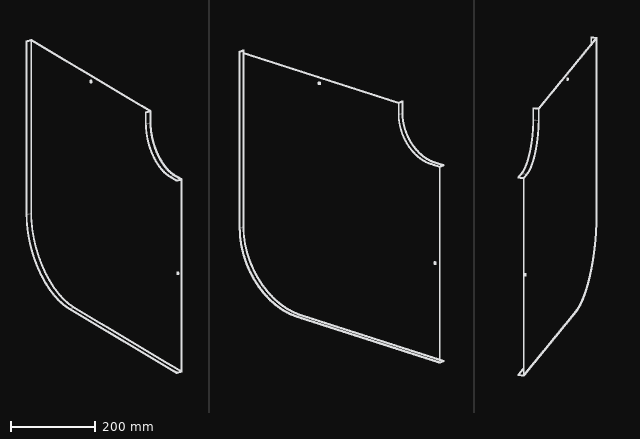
import cadquery as cq
import math

side = 631.0
depth = 14.0
sheet = 0.8

corner_radius = 180.0
notch_size = 129.5
notch_radius = 100.0

hole_diameter = 5.0
hole_edge_gap = 15.0
hole_distance = 251.0


def panel_prism(inset, thickness):
    """Extrude the outline towards -Y, with its flanged edges moved in by inset."""
    low = inset
    notch_edge = side - notch_size - inset
    outer_radius = corner_radius - inset
    inner_radius = notch_radius + inset
    notch_centre = notch_edge + inner_radius
    arc_mid_outer = corner_radius - outer_radius * math.sqrt(0.5)
    arc_mid_notch = notch_centre - inner_radius * math.sqrt(0.5)
    return (
        cq.Workplane("XZ")
        .moveTo(corner_radius, low)
        .lineTo(side, low)
        .lineTo(side, notch_edge)
        .lineTo(notch_centre, notch_edge)
        .threePointArc((arc_mid_notch, arc_mid_notch), (notch_edge, notch_centre))
        .lineTo(notch_edge, side)
        .lineTo(low, side)
        .lineTo(low, corner_radius)
        .threePointArc((arc_mid_outer, arc_mid_outer), (corner_radius, low))
        .close()
        .extrude(thickness)
    )


def mounting_holes():
    """Cutters for the two holes through the sheet."""
    far = side - hole_edge_gap
    return (
        cq.Workplane("XZ")
        .pushPoints([(hole_distance, far), (far, hole_distance)])
        .circle(hole_diameter / 2)
        .extrude(depth)
    )


cavity = panel_prism(sheet, depth).translate((0, -sheet, 0))
result = panel_prism(0, depth).cut(cavity).cut(mounting_holes())